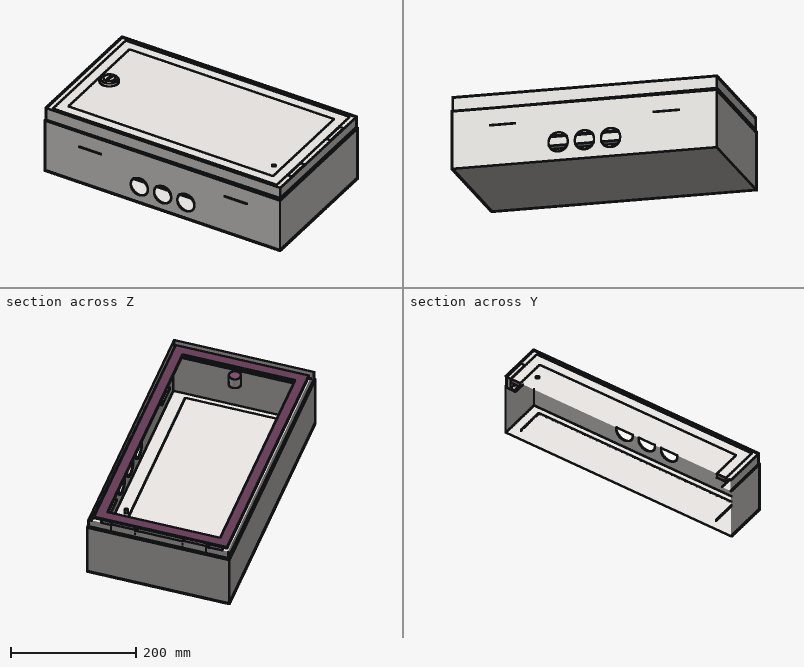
import cadquery as cq

box_length = 440.0
box_width = 240.0
overall_height = 126.8
sheet = 1.0

box_height = 97.5
rim_inset = 18.0
rim_height = 14.0

entry_diameter = 32.0
entry_pitch = 43.5
entry_count = 3
entry_height = 31.2

door_side_inset = 1.8
door_end_inset = 0.5
door_top = 121.0
gap_at_hinge_side = 2.8
stud_diameter = 6.0
stud_length = 12.0
stud_x = 177.0
stud_y = -68.0

gasket_length = 418.5
gasket_width = 225.0
gasket_strip = 18.0

plate_inset = 30.0
plate_thickness = 2.0
plate_bottom = 18.8

hinge_length = 40.0
hinge_spacing = 120.0
hinge_foot_inset = 18.0
hinge_post_inset = 10.0
hinge_outer_inset = 2.5
hinge_foot_thickness = 2.0

bracket_length = 42.0
bracket_depth = 15.0
bracket_thickness = 1.0
bracket_top = 69.0
bracket_spacing = 272.0

lock_x = -172.0
lock_base_diameter = 32.0
lock_shoulder_diameter = 26.6
lock_face_diameter = 18.8
lock_shoulder_drop = 2.0
lock_shank_diameter = 20.0
lock_shank_end = 95.0
key_slot_width = 2.5
key_slot_length = 11.6
key_slot_depth = 3.0

door_length = box_length - 2 * door_end_inset
door_width = box_width - 2 * door_side_inset
door_inner_top = door_top - sheet
rim_top = box_height + rim_height
entry_xs = [(i - (entry_count - 1) / 2) * entry_pitch for i in range(entry_count)]


def block(length, width, bottom, top):
    """Box centred on the Z axis, between two heights."""
    return cq.Workplane("XY").workplane(offset=bottom).rect(length, width).extrude(top - bottom)


def make_box():
    rim_length = box_length - 2 * rim_inset
    rim_width = box_width - 2 * rim_inset
    body = block(box_length, box_width, 0, box_height)
    body = body.cut(block(box_length - 2 * sheet, box_width - 2 * sheet, sheet, box_height - sheet))
    body = body.union(block(rim_length, rim_width, box_height - sheet, rim_top))
    body = body.cut(block(rim_length - 2 * sheet, rim_width - 2 * sheet, box_height - sheet, rim_top))
    entries = (
        cq.Workplane("XZ", origin=(0, -box_width / 2 + sheet, 0))
        .pushPoints([(x, entry_height) for x in entry_xs])
        .circle(entry_diameter / 2)
        .extrude(sheet)
    )
    return body.cut(entries)


def make_door():
    half_length = door_length / 2
    side = [
        (-half_length, box_height),
        (half_length, box_height + gap_at_hinge_side),
        (half_length, door_top),
        (-half_length, door_top),
    ]
    body = cq.Workplane("XZ").polyline(side).close().extrude(door_width / 2, both=True)
    body = body.cut(block(door_length - 2 * sheet, door_width - 2 * sheet, box_height, door_inner_top))
    stud = (
        cq.Workplane("XY", origin=(stud_x, stud_y, door_inner_top))
        .circle(stud_diameter / 2)
        .extrude(-stud_length)
    )
    lock_hole = (
        cq.Workplane("XY", origin=(lock_x, 0, door_inner_top))
        .circle(lock_shank_diameter / 2)
        .extrude(sheet)
    )
    return body.union(stud).cut(lock_hole)


def make_gasket():
    opening_length = gasket_length - 2 * gasket_strip
    opening_width = gasket_width - 2 * gasket_strip
    ring = block(gasket_length, gasket_width, rim_top, door_inner_top)
    return ring.cut(block(opening_length, opening_width, rim_top, door_inner_top))


def make_plate():
    return block(
        box_length - 2 * plate_inset,
        box_width - 2 * plate_inset,
        plate_bottom,
        plate_bottom + plate_thickness,
    )


def make_hinge(middle_y):
    side_x = box_length / 2
    foot_top = box_height + hinge_foot_thickness
    profile = [
        (side_x - hinge_foot_inset, box_height),
        (side_x - hinge_outer_inset, box_height),
        (side_x - hinge_outer_inset, door_inner_top),
        (side_x - hinge_post_inset, door_inner_top),
        (side_x - hinge_post_inset, foot_top),
        (side_x - hinge_foot_inset, foot_top),
    ]
    return (
        cq.Workplane("XZ", origin=(0, middle_y, 0))
        .polyline(profile)
        .close()
        .extrude(hinge_length / 2, both=True)
    )


def make_bracket(middle_x):
    wall_y = -box_width / 2 + sheet
    return (
        cq.Workplane("XY", origin=(middle_x, wall_y + bracket_depth / 2, bracket_top))
        .rect(bracket_length, bracket_depth)
        .extrude(-bracket_thickness)
    )


def make_lock():
    shoulder = overall_height - lock_shoulder_drop
    half_profile = [
        (0, lock_shank_end),
        (lock_shank_diameter / 2, lock_shank_end),
        (lock_shank_diameter / 2, door_top),
        (lock_base_diameter / 2, door_top),
        (lock_shoulder_diameter / 2, shoulder),
        (lock_face_diameter / 2, overall_height),
        (0, overall_height),
    ]
    body = cq.Workplane("XZ").polyline(half_profile).close().revolve(360, (0, 0), (0, 1))
    slot = block(key_slot_width, key_slot_length, overall_height - key_slot_depth, overall_height)
    return body.cut(slot).translate((lock_x, 0, 0))


box = make_box()
door = make_door()
gasket = make_gasket()
plate = make_plate()
lock = make_lock()
hinges = [make_hinge(side * hinge_spacing / 2) for side in (-1, 1)]
brackets = [make_bracket(side * bracket_spacing / 2) for side in (-1, 1)]

result = cq.Compound.makeCompound(
    [part.val() for part in (box, door, gasket, plate, lock, *hinges, *brackets)]
)